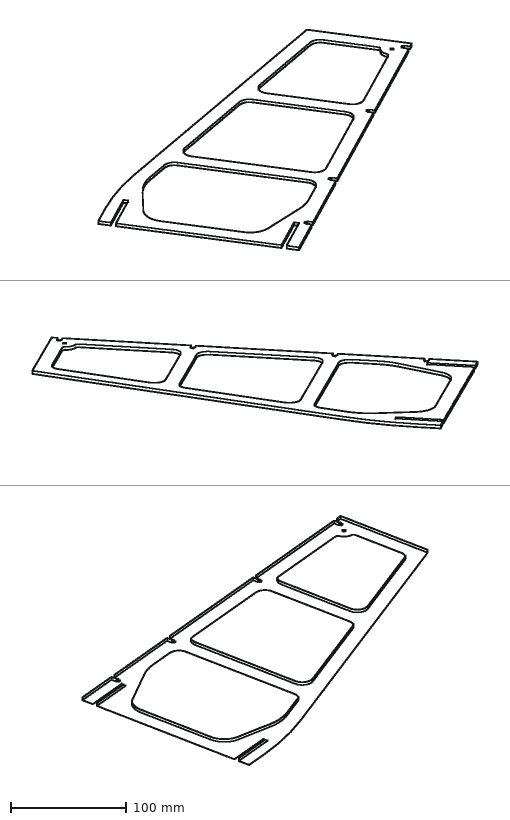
import cadquery as cq
import math

width = 180.0
length = 375.0
thickness = 3.0
band = 14.0

tip_chord = 94.0
sweep_start_y = 55.0
blend_radius = 250.0
tip_corner_x = width - tip_chord
lean = tip_corner_x / (length - sweep_start_y)
sweep = math.atan(lean)
blend_length = blend_radius * math.tan(sweep / 2)

bar_centers = (125.0, 250.0)
inner_right = width - band
inner_bottom = band
inner_top = length - band
window_offset = band
window_radius = 10.0

root_left_low = (37.0, inner_bottom)
root_left_knee_y = 74.0
root_right_low = (140.3, inner_bottom)
root_right_knee_y = 75.0
root_low_radius = 20.0
root_knee_radius = 45.0

hole_diameter = 3.0
hole_center = (inner_right, inner_top)
hole_pad_radius = 10.0
hole_pad_fillet = 2.5

slot_width = 4.5
slot_length = 42.0
slot_inset = 13.5
slot_centers = (slot_inset, width - slot_inset)

right_tab_x = slot_centers[1] + slot_width / 2
right_tab_rise = 0.3

mouth_width = 4.0
mouth_depth = 5.0
slit_width = 2.0
slit_depth = 7.0
root_notch_y = 44.5
tip_notch_inset = 7.5
notch_centers = (root_notch_y,) + bar_centers + (length - tip_notch_inset,)


def leading_x(y, offset=0.0):
    """X of the straight leading edge at height y, moved inward by offset."""
    return (y - sweep_start_y) * lean + offset / math.cos(sweep)


def prism(sketch):
    return sketch.close().extrude(thickness)


def plate():
    blend_end_y = sweep_start_y + blend_length * math.cos(sweep)
    mid_angle = sweep / 2
    start_y = sweep_start_y - blend_length
    mid = (blend_radius * (1 - math.cos(mid_angle)), start_y + blend_radius * math.sin(mid_angle))
    return prism(
        cq.Workplane("XY")
        .lineTo(right_tab_x, 0)
        .lineTo(right_tab_x, right_tab_rise)
        .lineTo(width, 0)
        .lineTo(width, length)
        .lineTo(tip_corner_x, length)
        .lineTo(leading_x(blend_end_y), blend_end_y)
        .threePointArc(mid, (0, start_y))
    )


def fillet_corners(body, points, radius):
    """Fillet the vertical edges that stand on the given points."""
    for x, y in points:
        body = body.edges(cq.selectors.NearestToPointSelector((x, y, thickness / 2))).fillet(radius)
    return body


def swept_window(bottom, top):
    """Four-sided window whose left side follows the leading edge."""
    corners = [
        (leading_x(bottom, window_offset), bottom),
        (inner_right, bottom),
        (inner_right, top),
        (leading_x(top, window_offset), top),
    ]
    return prism(cq.Workplane("XY").polyline(corners)).edges("|Z").fillet(window_radius)


def tip_window():
    """Tip window with its upper right corner cut back around the tip hole."""
    pad = cq.Workplane("XY").center(*hole_center).circle(hole_pad_radius).extrude(thickness)
    body = swept_window(bar_centers[1] + band / 2, inner_top).cut(pad)
    pad_ends = [
        (inner_right - hole_pad_radius, inner_top),
        (inner_right, inner_top - hole_pad_radius),
    ]
    return fillet_corners(body, pad_ends, hole_pad_fillet)


def root_window():
    top = bar_centers[0] - band / 2
    upper = [(inner_right, top), (leading_x(top, window_offset), top)]
    right_knee = (inner_right, root_right_knee_y)
    left_knee = (leading_x(root_left_knee_y, window_offset), root_left_knee_y)
    outline = [root_left_low, root_right_low, right_knee] + upper + [left_knee]
    body = prism(cq.Workplane("XY").polyline(outline))
    body = fillet_corners(body, upper, window_radius)
    body = fillet_corners(body, [root_left_low, root_right_low], root_low_radius)
    return fillet_corners(body, [right_knee, left_knee], root_knee_radius)


def slot(center_x):
    return (
        cq.Workplane("XY")
        .center(center_x, slot_length / 2)
        .rect(slot_width, slot_length)
        .extrude(thickness)
    )


def edge_cut(center_y, cut_width, depth):
    """Rectangular cut running inward from the right edge."""
    return (
        cq.Workplane("XY")
        .center(width - depth / 2, center_y)
        .rect(depth, cut_width)
        .extrude(thickness)
    )


def notch(center_y):
    return edge_cut(center_y, mouth_width, mouth_depth).union(edge_cut(center_y, slit_width, slit_depth))


def hole():
    return cq.Workplane("XY").center(*hole_center).circle(hole_diameter / 2).extrude(thickness)


result = plate()
result = result.cut(root_window())
result = result.cut(swept_window(bar_centers[0] + band / 2, bar_centers[1] - band / 2))
result = result.cut(tip_window())
result = result.cut(hole())
for x in slot_centers:
    result = result.cut(slot(x))
for y in notch_centers:
    result = result.cut(notch(y))